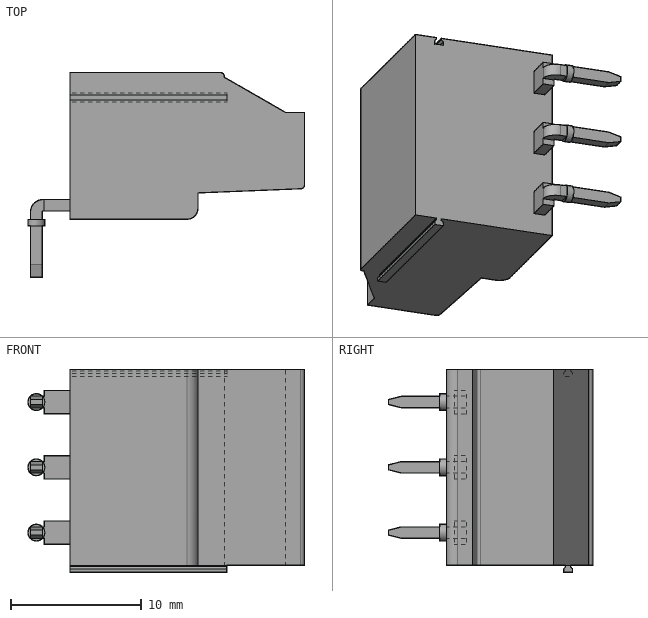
import cadquery as cq

overall_length = 21.2
housing_length = 17.98
housing_depth = 11.25
housing_height = 15.0
step_x = 9.82
step_y = 2.01
step_corner_radius = 0.85
nose_front_y = 2.33
nose_corner_radius = 0.3
nose_back_y = 8.2
slope_bottom_x = 16.51
slope_top_x = 11.83
slope_top_y = 10.9
lip_start_x = 11.53
lip_radius = slope_top_x - lip_start_x

rail_length = 12.02
rail_y = 9.33
rail_neck_width = 0.4
rail_neck_height = 0.1
rail_head_width = 0.7
rail_flare_height = 0.2
rail_height = 0.55

pin_count = 3
pin_pitch = 5.0
pin_width = 0.93
pin_thickness = 0.9
bend_radius = 1.0
pin_reach = 4.45
tip_length = 1.0
tip_thickness = 0.38
collar_diameter = 1.3
collar_thickness = 0.5
shoulder_length = 1.97
shoulder_height = 1.8
shoulder_thickness = 0.9
shoulder_back_y = 1.53
pin_x = collar_diameter / 2 - (overall_length - housing_length)
pin_inner_x = pin_x + pin_width / 2
pin_outer_x = pin_x - pin_width / 2
bend_y = shoulder_back_y - bend_radius


def make_housing():
    return (
        cq.Workplane("XY")
        .lineTo(step_x - step_corner_radius, 0)
        .radiusArc((step_x, step_corner_radius), -step_corner_radius)
        .lineTo(step_x, step_y)
        .lineTo(housing_length - nose_corner_radius, nose_front_y)
        .radiusArc((housing_length, nose_front_y + nose_corner_radius), -nose_corner_radius)
        .lineTo(housing_length, nose_back_y)
        .lineTo(slope_bottom_x, nose_back_y)
        .lineTo(slope_top_x, slope_top_y)
        .lineTo(slope_top_x, housing_depth - lip_radius)
        .radiusArc((lip_start_x, housing_depth), -lip_radius)
        .lineTo(0, housing_depth)
        .close()
        .extrude(housing_height)
    )


def make_rail(base_z):
    """Flared rail hanging below base_z, running along X from the pin face."""
    neck = rail_neck_width / 2
    head = rail_head_width / 2
    neck_z = base_z - rail_neck_height
    flare_z = neck_z - rail_flare_height
    bottom_z = base_z - rail_height
    outline = [
        (rail_y - neck, base_z),
        (rail_y - neck, neck_z),
        (rail_y - head, flare_z),
        (rail_y - head, bottom_z),
        (rail_y + head, bottom_z),
        (rail_y + head, flare_z),
        (rail_y + neck, neck_z),
        (rail_y + neck, base_z),
    ]
    return cq.Workplane("YZ").polyline(outline).close().extrude(rail_length)


def make_pin(center_z):
    """Pin leaving the housing along -X, bent square towards -Y, with a tapered tip."""
    shoulder = cq.Workplane("XY").box(
        shoulder_length, shoulder_thickness, shoulder_height, centered=(False, False, True)
    ).translate((-shoulder_length, shoulder_back_y - shoulder_thickness, center_z))

    bend = (
        cq.Workplane("XY", origin=(0, 0, center_z))
        .moveTo(-shoulder_length, shoulder_back_y)
        .lineTo(pin_outer_x + bend_radius, shoulder_back_y)
        .radiusArc((pin_outer_x, bend_y), -bend_radius)
        .lineTo(pin_outer_x, 0)
        .lineTo(pin_inner_x, 0)
        .lineTo(pin_inner_x, shoulder_back_y - shoulder_thickness)
        .lineTo(-shoulder_length, shoulder_back_y - shoulder_thickness)
        .close()
        .extrude(pin_thickness / 2, both=True)
    )

    half = pin_thickness / 2
    tip_half = tip_thickness / 2
    taper_y = tip_length - pin_reach
    shaft = (
        cq.Workplane("YZ", origin=(pin_x, 0, center_z))
        .polyline([
            (0, -half),
            (taper_y, -half),
            (-pin_reach, -tip_half),
            (-pin_reach, tip_half),
            (taper_y, half),
            (0, half),
        ])
        .close()
        .extrude(pin_width / 2, both=True)
    )

    collar = (
        cq.Workplane("XZ", origin=(pin_x, 0, center_z))
        .circle(collar_diameter / 2)
        .extrude(collar_thickness)
    )
    return shoulder.union(bend).union(shaft).union(collar)


result = make_housing().union(make_rail(0)).cut(make_rail(housing_height))
for index in range(pin_count):
    pin_z = housing_height / 2 + (index - (pin_count - 1) / 2) * pin_pitch
    result = result.union(make_pin(pin_z))